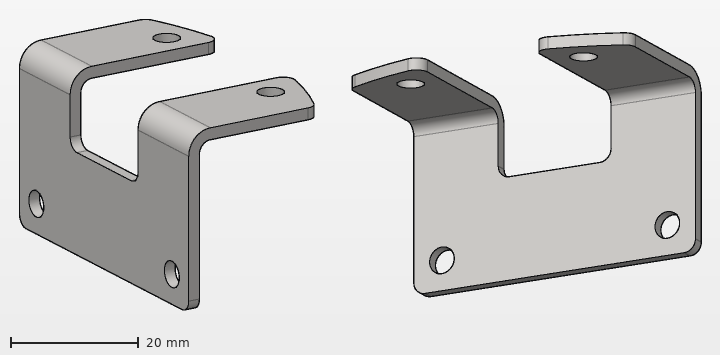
import cadquery as cq
import math

width = 50.0
height = 30.0
thickness = 2.0
inner_bend_radius = 2.0
outer_bend_radius = inner_bend_radius + thickness
corner_radius = 2.0

notch_width = 20.0
notch_floor = 17.0

end_arc_radius = 60.0
end_arc_center_y = -31.15
arm_blank_length = 35.0

hole_diameter = 4.35
plate_hole_inset = 5.0
arm_hole_offset = 15.35
arm_hole_y = 21.2


def bent_sheet():
    """L-shaped sheet with its upright outer face at Y = 0 and its base at Z = 0."""
    profile = (
        cq.Workplane("YZ")
        .polyline(
            [
                (0, 0),
                (thickness, 0),
                (thickness, height - thickness),
                (arm_blank_length, height - thickness),
                (arm_blank_length, height),
                (0, height),
            ]
        )
        .close()
        .extrude(width / 2, both=True)
    )
    inner_edge = cq.selectors.NearestToPointSelector((0, thickness, height - thickness))
    outer_edge = cq.selectors.NearestToPointSelector((0, 0, height))
    return (
        profile.edges(inner_edge)
        .fillet(inner_bend_radius)
        .edges(outer_edge)
        .fillet(outer_bend_radius)
    )


def notch():
    """Cutter with rounded floor corners, open upward and along the arms."""
    return (
        cq.Workplane("XY")
        .box(notch_width, arm_blank_length, height, centered=(True, False, False))
        .translate((0, 0, notch_floor))
        .edges("|Y and <Z")
        .fillet(corner_radius)
    )


def arm_end_disc():
    """Upright cylinder whose rim trims the free ends of both arms."""
    return (
        cq.Workplane("XY")
        .center(0, end_arc_center_y)
        .circle(end_arc_radius)
        .extrude(height)
    )


def arm_end_y(x):
    return end_arc_center_y + math.sqrt(end_arc_radius**2 - x**2)


def round_corners(body):
    """Round the lower plate corners and both corners of each arm end."""
    body = body.edges("|Y and <Z").fillet(corner_radius)
    mid_arm_z = height - thickness / 2
    for x in (-width / 2, -notch_width / 2, notch_width / 2, width / 2):
        corner = cq.selectors.NearestToPointSelector((x, arm_end_y(x), mid_arm_z))
        body = body.edges("|Z").edges(corner).fillet(corner_radius)
    return body


def holes():
    """Cutters for the two plate holes and the two arm holes."""
    plate_hole_x = width / 2 - plate_hole_inset
    plate_holes = (
        cq.Workplane("XZ")
        .pushPoints([(side * plate_hole_x, plate_hole_inset) for side in (-1, 1)])
        .circle(hole_diameter / 2)
        .extrude(-thickness)
    )
    arm_holes = (
        cq.Workplane("XY", origin=(0, 0, height - thickness))
        .pushPoints([(side * arm_hole_offset, arm_hole_y) for side in (-1, 1)])
        .circle(hole_diameter / 2)
        .extrude(thickness)
    )
    return plate_holes.union(arm_holes)


trimmed = bent_sheet().cut(notch()).intersect(arm_end_disc())
result = round_corners(trimmed).cut(holes())